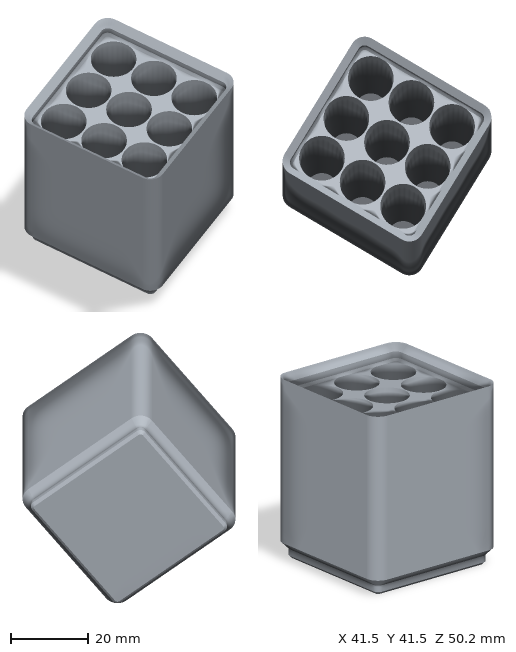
import cadquery as cq

width = 41.5
height = 50.2
corner_radius = 3.75

foot_low_chamfer = 0.8
foot_straight = 1.8
foot_high_chamfer = 2.15
foot_height = foot_low_chamfer + foot_straight + foot_high_chamfer

lip_high_chamfer = 1.9
lip_straight = 1.8
lip_low_chamfer = 0.7
lip_depth = lip_high_chamfer + lip_straight + lip_low_chamfer

pocket_rows = 3
pocket_pitch = 12.3
pocket_diameter = 11.85
pocket_floor_diameter = 8.3
pocket_depth = height - lip_depth - foot_height

chamfer_angle = 45


def rounded_section(inset, bottom, section_height, flare_angle=0):
    """Rounded square section, inset from the outer walls at its bottom; it can flare upward."""
    side = width - 2 * inset
    outline = cq.Sketch().rect(side, side).vertices().fillet(corner_radius - inset)
    return (
        cq.Workplane("XY")
        .workplane(offset=bottom)
        .placeSketch(outline)
        .extrude(section_height, taper=-flare_angle)
    )


def flared_section(bottom_inset, bottom, section_height):
    """Section whose sides spread outward at the chamfer angle."""
    return rounded_section(bottom_inset, bottom, section_height, chamfer_angle)


def make_body():
    """Straight walls standing on the narrower stepped foot."""
    tip_inset = foot_high_chamfer + foot_low_chamfer
    neck_top = foot_low_chamfer + foot_straight
    tip = flared_section(tip_inset, 0, foot_low_chamfer)
    neck = rounded_section(foot_high_chamfer, foot_low_chamfer, foot_straight)
    shoulder = flared_section(foot_high_chamfer, neck_top, foot_high_chamfer)
    walls = rounded_section(0, foot_height, height - foot_height)
    return tip.union(neck).union(shoulder).union(walls)


def make_lip_recess():
    """Opening inside the lip: a lower flare, a straight band and a flared rim."""
    floor_inset = lip_high_chamfer + lip_low_chamfer
    floor = height - lip_depth
    low_flare = flared_section(floor_inset, floor, lip_low_chamfer)
    band = rounded_section(lip_high_chamfer, floor + lip_low_chamfer, lip_straight)
    rim = flared_section(lip_high_chamfer, height - lip_high_chamfer, lip_high_chamfer)
    return low_flare.union(band).union(rim)


def make_pockets():
    """Square grid of round pockets, each narrowing evenly down to a flat floor."""
    pocket = cq.Solid.makeCone(pocket_floor_diameter / 2, pocket_diameter / 2, pocket_depth)
    return (
        cq.Workplane("XY")
        .workplane(offset=foot_height)
        .rarray(pocket_pitch, pocket_pitch, pocket_rows, pocket_rows)
        .eachpoint(lambda location: pocket.moved(location))
    )


result = make_body().cut(make_lip_recess()).cut(make_pockets())